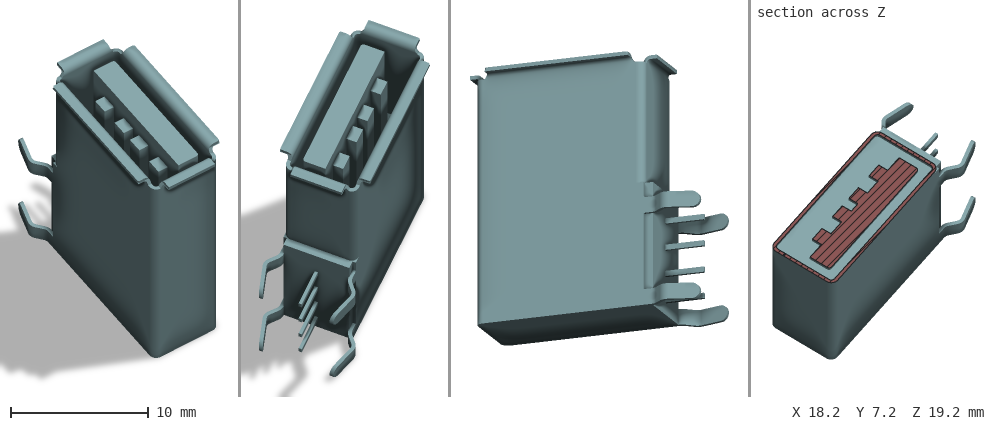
import cadquery as cq
import math


shell_length = 13.1
shell_width = 5.7
sheet = 0.29
corner_radius = 0.58
height = 19.2
rim_z = 18.57
half_length = shell_length / 2
half_width = shell_width / 2

lip_reach = 0.71
lip_bend_radius = 0.5
long_lip_length = 11.1
short_lip_length = 4.03
gusset_width = 0.25
gusset_height = 0.38
long_lip_tip_radius = 0.15

body_height = 9.35
body_width = 5.18
body_x = -7.16

tongue_length = 11.0
tongue_thickness = 1.8
tongue_top = 18.66
tongue_edge_radius = 0.23
contact_width = 1.2
contact_thickness = 0.8
contact_top = 17.15
contact_places = [-3.5, -1.0, 1.0, 3.5]

pin_tip_x = -10.18
pin_thickness = 0.25
pin_height = 0.4
pin_pitch = 2.0
pin_count = 4
lowest_pin_z = 1.11

leg_height = 1.2
leg_bottoms = [0, 6.99]
leg_tip_x = -10.95
leg_span = 7.2
leg_crest_y = leg_span / 2
leg_bend_x = -7.16
leg_rise_angle = math.radians(40)
leg_tip_angle = math.radians(16)
leg_root_radius = 0.71
leg_crest_radius = 0.6
leg_notch_radius = 0.15


def block(x_range, y_range, z_range):
    """Box spanning three coordinate ranges."""
    spans = [high - low for low, high in (x_range, y_range, z_range)]
    return (
        cq.Workplane("XY")
        .box(*spans, centered=False)
        .translate((x_range[0], y_range[0], z_range[0]))
    )


def rounded_prism(inset, top):
    """Upright prism with the shell's rounded outline, moved inwards by the inset."""
    return (
        cq.Workplane("XY")
        .rect(shell_length - 2 * inset, shell_width - 2 * inset)
        .extrude(top)
        .edges("|Z")
        .fillet(corner_radius - inset)
    )


def make_shell():
    """Rounded tube without its -X wall beside the plastic body, where the side walls end flat."""
    tube = rounded_prism(0, rim_z).cut(rounded_prism(sheet, rim_z))
    corner_end = -half_length + corner_radius
    x_range = (-half_length, corner_end)
    tube = tube.cut(block(x_range, (-half_width, half_width), (0, body_height)))
    for y_range in ((-half_width, sheet - half_width), (half_width - sheet, half_width)):
        tube = tube.union(block(x_range, y_range, (0, body_height)))
    return tube


def make_lip(wall_y, lip_length, tip_radius=0):
    """Lip on the +Y side: a strip of wall that rises from the rim and bends outwards."""
    bend_y = wall_y - sheet + lip_bend_radius
    bend_z = height - lip_bend_radius
    tip_y = wall_y + lip_reach
    outer_radius = lip_bend_radius - sheet
    slant = math.sqrt(0.5)
    strip_length = lip_length + 2 * gusset_width
    strip = (
        cq.Workplane("YZ")
        .moveTo(wall_y, rim_z)
        .lineTo(wall_y, bend_z)
        .threePointArc(
            (bend_y - outer_radius * slant, bend_z + outer_radius * slant),
            (bend_y, height - sheet),
        )
        .lineTo(tip_y, height - sheet)
        .lineTo(tip_y, height)
        .lineTo(bend_y, height)
        .threePointArc(
            (bend_y - lip_bend_radius * slant, bend_z + lip_bend_radius * slant),
            (wall_y - sheet, bend_z),
        )
        .lineTo(wall_y - sheet, rim_z)
        .close()
        .extrude(strip_length / 2, both=True)
    )
    half_lip = lip_length / 2
    outline = (
        cq.Workplane("XZ")
        .polyline([
            (-half_lip - gusset_width, rim_z),
            (half_lip + gusset_width, rim_z),
            (half_lip, rim_z + gusset_height),
            (half_lip, height),
            (-half_lip, height),
            (-half_lip, rim_z + gusset_height),
        ])
        .close()
        .extrude(-tip_y)
    )
    lip = strip.intersect(outline)
    if tip_radius > 0:
        lip = lip.faces(">Y").edges("|Z").fillet(tip_radius)
    return lip


def make_body():
    """Plastic body that fills the lower shell and stands out through its open side."""
    inner_width = shell_width - 2 * sheet
    outer = block((body_x, -half_length), (-body_width / 2, body_width / 2), (0, body_height))
    inner = block((-half_length, 0), (-inner_width / 2, inner_width / 2), (0, body_height))
    return rounded_prism(sheet, body_height).union(inner).union(outer)


def make_tongue():
    """Tongue rising from the body, with contacts on its -Y face."""
    half_tongue = tongue_length / 2
    tongue = block((-half_tongue, half_tongue), (0, tongue_thickness), (body_height, tongue_top))
    tongue = tongue.faces(">Y").edges("|Z").fillet(tongue_edge_radius)
    for x in contact_places:
        x_range = (x - contact_width / 2, x + contact_width / 2)
        contact = block(x_range, (-contact_thickness, 0), (body_height, contact_top))
        tongue = tongue.union(contact)
    return tongue


def make_pin(z):
    """Straight solder pin standing out of the body at the given height."""
    y_range = (-pin_thickness / 2, pin_thickness / 2)
    return block((pin_tip_x, body_x), y_range, (z - pin_height / 2, z + pin_height / 2))


def make_leg(bottom):
    """Spring leg on the +Y side: bends outwards to a crest, then slopes back in to a round tip."""
    rise_sin = math.sin(leg_rise_angle)
    rise_drop = 1 - math.cos(leg_rise_angle)
    tip_drop = 1 - math.cos(leg_tip_angle)
    root_y = half_width - sheet / 2
    crest_y = leg_crest_y - sheet / 2

    root_end_x = leg_bend_x - leg_root_radius * rise_sin
    root_end_y = root_y + leg_root_radius * rise_drop
    crest_start_y = crest_y - leg_crest_radius * rise_drop
    crest_start_x = root_end_x - (crest_start_y - root_end_y) / math.tan(leg_rise_angle)
    crest_x = crest_start_x - leg_crest_radius * rise_sin
    crest_end_x = crest_x - leg_crest_radius * math.sin(leg_tip_angle)
    crest_end_y = crest_y - leg_crest_radius * tip_drop
    path_end_x = leg_tip_x - sheet
    path_end_y = crest_end_y - (crest_end_x - path_end_x) * math.tan(leg_tip_angle)

    middle_z = bottom + leg_height / 2
    path = (
        cq.Workplane("XY", origin=(0, 0, middle_z))
        .moveTo(-half_length, root_y)
        .lineTo(leg_bend_x, root_y)
        .tangentArcPoint((root_end_x, root_end_y), relative=False)
        .lineTo(crest_start_x, crest_start_y)
        .threePointArc((crest_x, crest_y), (crest_end_x, crest_end_y))
        .lineTo(path_end_x, path_end_y)
    )
    strip = (
        cq.Workplane("YZ", origin=(-half_length, root_y, middle_z))
        .rect(sheet, leg_height)
        .sweep(path)
    )
    tip_radius = leg_height / 2
    tip_centre_x = leg_tip_x + tip_radius
    outline = block((tip_centre_x, -half_length), (0, leg_crest_y), (bottom, bottom + leg_height))
    round_tip = (
        cq.Workplane("XZ", origin=(tip_centre_x, 0, middle_z))
        .circle(tip_radius)
        .extrude(-leg_crest_y)
    )
    return strip.intersect(outline.union(round_tip))


def round_leg_notches(shell):
    """Round the inner corners where the upper legs leave the side walls."""
    leg_top = max(leg_bottoms) + leg_height
    near = leg_notch_radius / 2
    notch_edges = cq.selectors.BoxSelector(
        (-half_length - near, -half_width - near, leg_top - near),
        (-half_length + near, half_width + near, leg_top + near),
    )
    return shell.edges("|Y").edges(notch_edges).fillet(leg_notch_radius)


result = make_shell()
for leg_bottom in leg_bottoms:
    leg = make_leg(leg_bottom)
    result = result.union(leg).union(leg.mirror("XZ"))
result = round_leg_notches(result)

long_lip = make_lip(half_width, long_lip_length, long_lip_tip_radius)
short_lip = make_lip(half_length, short_lip_length)
for lip, angles in ((long_lip, (0, 180)), (short_lip, (90, 270))):
    for angle in angles:
        result = result.union(lip.rotate((0, 0, 0), (0, 0, 1), angle))

result = result.union(make_body()).union(make_tongue())
for index in range(pin_count):
    result = result.union(make_pin(lowest_pin_z + index * pin_pitch))